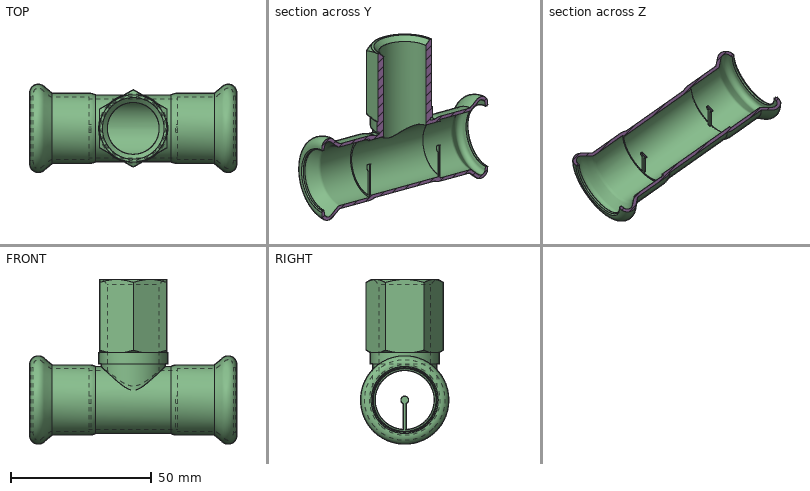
import cadquery as cq
import math


run_length = 74.0
run_radius = 12.0
run_bore_radius = 10.5
socket_radius = 12.6
socket_wall = 1.4
socket_bore_radius = socket_radius - socket_wall
socket_depth = 21.2
neck_length = 2.45

bead_diameter = 31.6
bead_radius = 3.1
bead_ring_radius = bead_diameter / 2 - bead_radius
bead_slope = math.radians(40)
lip_bore_radius = 11.55
lip_width = 1.2
lip_chamfer = 0.45
groove_bend_radius = 1.5

pointer_disc_radius = 1.4
pointer_stem_width = 1.1
pointer_thickness = 0.75

stub_radius = 11.5
collar_radius = 12.35
collar_bottom = 12.9
collar_height = 4.1
overall_height = 58.8
hex_sides = 6
hex_across_flats = 24.0
hex_chamfer_angle = math.radians(30)
branch_bore_radius = 9.25
branch_mouth_chamfer = 1.8

branch_top = overall_height - bead_diameter / 2
inscribed_radius = hex_across_flats / 2
hex_corner_radius = inscribed_radius / math.cos(math.pi / hex_sides)
collar_top = collar_bottom + collar_height
hex_bottom = collar_top - (collar_radius - inscribed_radius) * math.tan(hex_chamfer_angle)

end_x = -run_length / 2
stop_x = end_x + socket_depth


def on_bead(radius, angle):
    """Point of a circle about the bead centre; the angle is taken from the outward radial direction."""
    return (
        end_x + bead_radius + radius * math.sin(angle),
        bead_ring_radius + radius * math.cos(angle),
    )


def slope_end(start, radius):
    """Point where the bead slope that leaves `start` comes down to `radius`."""
    return (start[0] + (start[1] - radius) / math.tan(bead_slope), radius)


def revolve_about_run(profile):
    return profile.close().revolve(360, (0, 0, 0), (1, 0, 0))


def run_half_body():
    """Solid left half of the run: bead, slope, socket, rounded neck, run."""
    slope_start = on_bead(bead_radius, bead_slope)
    neck_drop = socket_radius - run_radius
    neck_radius = (neck_length**2 + neck_drop**2) / (2 * neck_drop)
    neck_half_angle = math.asin(neck_length / neck_radius) / 2
    neck_middle = (
        stop_x + neck_radius * math.sin(neck_half_angle),
        socket_radius - neck_radius * (1 - math.cos(neck_half_angle)),
    )
    profile = (
        cq.Workplane("XY")
        .moveTo(end_x, 0)
        .lineTo(end_x, bead_ring_radius)
        .threePointArc(on_bead(bead_radius, (bead_slope - math.pi / 2) / 2), slope_start)
        .lineTo(*slope_end(slope_start, socket_radius))
        .lineTo(stop_x, socket_radius)
        .threePointArc(neck_middle, (stop_x + neck_length, run_radius))
        .lineTo(0, run_radius)
        .lineTo(0, 0)
    )
    return revolve_about_run(profile)


def run_half_cavity():
    """Left half of the hollow: chamfered lip, seal groove, socket bore, run bore.

    The inner face of the lip leans slightly, back to the rounded groove.
    """
    groove_radius = bead_radius - socket_wall
    slope_start = on_bead(groove_radius, bead_slope)
    corner = slope_end(slope_start, socket_bore_radius)
    bend_tangent = groove_bend_radius * math.tan(bead_slope / 2)
    bend_start = (
        corner[0] - bend_tangent * math.cos(bead_slope),
        corner[1] + bend_tangent * math.sin(bead_slope),
    )
    bend_end = (corner[0] + bend_tangent, corner[1])
    bend_middle = (
        bend_end[0] - groove_bend_radius * math.sin(bead_slope / 2),
        bend_end[1] + groove_bend_radius * (1 - math.cos(bead_slope / 2)),
    )
    profile = (
        cq.Workplane("XY")
        .moveTo(end_x, 0)
        .lineTo(end_x, lip_bore_radius + lip_chamfer)
        .lineTo(end_x + lip_chamfer, lip_bore_radius)
        .lineTo(end_x + lip_width, lip_bore_radius)
        .lineTo(*on_bead(groove_radius, -math.pi / 2))
        .threePointArc(on_bead(groove_radius, (bead_slope - math.pi / 2) / 2), slope_start)
        .lineTo(*bend_start)
        .threePointArc(bend_middle, bend_end)
        .lineTo(stop_x, socket_bore_radius)
        .lineTo(stop_x, run_bore_radius)
        .lineTo(0, run_bore_radius)
        .lineTo(0, 0)
    )
    return revolve_about_run(profile)


def pointer():
    """Disc on the run axis, held by a thin stem that rises from the bore wall."""
    stem_length = (run_bore_radius + run_radius) / 2
    plane = cq.Workplane("YZ", origin=(stop_x, 0, 0))
    disc = plane.circle(pointer_disc_radius).extrude(pointer_thickness)
    stem = (
        plane.center(0, -stem_length / 2)
        .rect(pointer_stem_width, stem_length)
        .extrude(pointer_thickness)
    )
    return disc.union(stem)


def both_ends(half):
    return half.union(half.mirror("YZ"))


def hexagon():
    """Hexagon with corners along Y, both ends turned down to the inscribed circle."""
    height = branch_top - hex_bottom
    drop = (hex_corner_radius - inscribed_radius) * math.tan(hex_chamfer_angle)
    prism = (
        cq.Workplane("XY", origin=(0, 0, hex_bottom))
        .polygon(hex_sides, 2 * hex_corner_radius)
        .extrude(height)
        .rotate((0, 0, 0), (0, 0, 1), 180 / hex_sides)
    )
    turned = (
        cq.Workplane("XZ")
        .moveTo(0, hex_bottom)
        .lineTo(inscribed_radius, hex_bottom)
        .lineTo(hex_corner_radius, hex_bottom + drop)
        .lineTo(hex_corner_radius, branch_top - drop)
        .lineTo(inscribed_radius, branch_top)
        .lineTo(0, branch_top)
        .close()
        .revolve(360, (0, 0, 0), (0, 1, 0))
    )
    return prism.intersect(turned)


def branch_body():
    stub = cq.Workplane("XY").circle(stub_radius).extrude(collar_top)
    collar = (
        cq.Workplane("XY", origin=(0, 0, collar_bottom))
        .circle(collar_radius)
        .extrude(collar_height)
    )
    return stub.union(collar).union(hexagon())


def branch_bore():
    """Bore from the run axis up to the top, opened by a 45 degree chamfer."""
    profile = (
        cq.Workplane("XZ")
        .lineTo(branch_bore_radius, 0)
        .lineTo(branch_bore_radius, branch_top - branch_mouth_chamfer)
        .lineTo(branch_bore_radius + branch_mouth_chamfer, branch_top)
        .lineTo(0, branch_top)
        .close()
    )
    return profile.revolve(360, (0, 0, 0), (0, 1, 0))


body = both_ends(run_half_body()).union(branch_body())
hollow = body.cut(both_ends(run_half_cavity())).cut(branch_bore())
result = hollow.union(both_ends(pointer()))